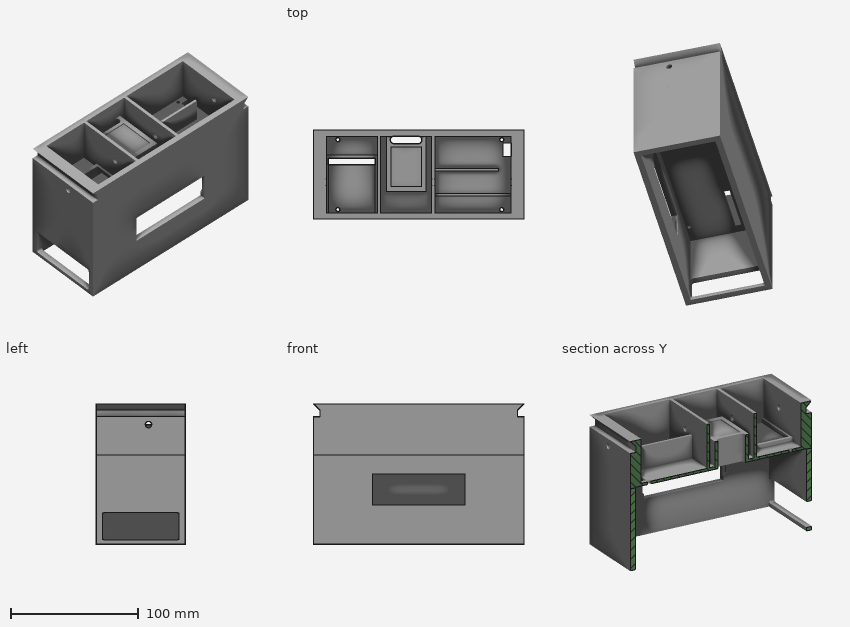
import cadquery as cq
LENGTH = 165.0
DEPTH = 70.0
BASE_HEIGHT = 70.0
TOTAL_HEIGHT = 110.0
WALL = 5.0

DISPLAY_WIDTH = 72.3
DISPLAY_HEIGHT = 24.3
DISPLAY_BOTTOM = 30.7
RELIEF_HEIGHT = 16.2
RELIEF_DEPTH = 2.0
RELIEF_CHAMFER = 2.5
END_OPENING_HEIGHT = 21.6
END_OPENING_BOTTOM = 3.3
END_OPENING_CORNER_RADIUS = 2.0

TRAY_FLOOR = 2.6
TRAY_END_WALL = 10.0
PARTITION = 2.6
SMALL_COMPARTMENT = 40.0
GROOVE_DEPTH = 5.0
GROOVE_BOTTOM_DROP = 10.0

SCREW_DIAMETER = 3.0
SCREW_LEFT_X = -63.4
SCREW_RIGHT_X = 65.0
SCREW_Y = 27.4

WIRE_DIAMETER = 5.0
WIRE_Y = -6.1
WIRE_Z = 93.7

FRAME_DEPTH = 45.4
FRAME_HEIGHT = 3.8
FRAME_SIDE = 1.6
FRAME_BACK = 2.6
FLOOR_SLOT = 5.0

BLOCK_WIDTH = 30.9
BLOCK_DEPTH = 43.4
BLOCK_TOP = WIRE_Z
BLOCK_POCKET_WIDTH = 23.8
BLOCK_POCKET_LENGTH = 31.0
BLOCK_POCKET_FRONT = 4.0
BLOCK_POCKET_DEPTH = 1.2
CABLE_SLOT_LENGTH = 24.6
CABLE_SLOT_WIDTH = 5.8

FIN_LENGTH = 49.8
FIN_THICKNESS = 2.0
FIN_Y = 4.0
FIN_TOP = 92.4
RIDGE_THICKNESS = 2.0
RIDGE_Y = -15.7
RIDGE_HEIGHT = 3.3
FLOOR_OPENING_WIDTH = 6.3
FLOOR_OPENING_DEPTH = 10.4
FLOOR_OPENING_BACK_GAP = 5.5

INNER_BACK = DEPTH / 2 - WALL
INNER_FRONT = -INNER_BACK
FLOOR_TOP = BASE_HEIGHT + TRAY_FLOOR
LEFT_START = -LENGTH / 2 + TRAY_END_WALL
LEFT_END = LEFT_START + SMALL_COMPARTMENT
MIDDLE_START = LEFT_END + PARTITION
MIDDLE_END = MIDDLE_START + SMALL_COMPARTMENT
RIGHT_START = MIDDLE_END + PARTITION
RIGHT_END = LENGTH / 2 - TRAY_END_WALL
MIDDLE_CENTER = (MIDDLE_START + MIDDLE_END) / 2


def box(x_range, y_range, z_range):
    """Axis-aligned box between the given limits."""
    (x0, x1), (y0, y1), (z0, z1) = x_range, y_range, z_range
    return cq.Workplane("XY").box(x1 - x0, y1 - y0, z1 - z0, centered=False).translate((x0, y0, z0))


def centered_range(center, size):
    """Limits of a stretch of the given size around its center."""
    return (center - size / 2, center + size / 2)


def make_base():
    """Four walls, open at top and bottom, with the two wall openings."""
    base = box(centered_range(0, LENGTH), centered_range(0, DEPTH), (0, BASE_HEIGHT))
    base = base.cut(box(centered_range(0, LENGTH - 2 * WALL), (INNER_FRONT, INNER_BACK), (0, BASE_HEIGHT)))

    display_z = (DISPLAY_BOTTOM, DISPLAY_BOTTOM + DISPLAY_HEIGHT)
    window = box(centered_range(0, DISPLAY_WIDTH), (-DEPTH / 2, INNER_FRONT), display_z)
    relief = box(
        centered_range(0, DISPLAY_WIDTH + 2 * RELIEF_CHAMFER),
        (INNER_FRONT - RELIEF_DEPTH, INNER_FRONT),
        centered_range(sum(display_z) / 2, RELIEF_HEIGHT),
    ).edges("|Y").chamfer(RELIEF_CHAMFER)

    end_opening = box(
        (-LENGTH / 2, -LENGTH / 2 + WALL),
        (INNER_FRONT, INNER_BACK),
        (END_OPENING_BOTTOM, END_OPENING_BOTTOM + END_OPENING_HEIGHT),
    ).edges("|X").fillet(END_OPENING_CORNER_RADIUS)
    return base.cut(window).cut(relief).cut(end_opening)


def tray_shell():
    """Tray block with dovetail end grooves, three compartments and the wire passage."""
    half = LENGTH / 2
    neck = half - GROOVE_DEPTH
    right_side = [
        (half, BASE_HEIGHT),
        (half, TOTAL_HEIGHT - GROOVE_BOTTOM_DROP),
        (neck, TOTAL_HEIGHT - GROOVE_BOTTOM_DROP),
        (neck, TOTAL_HEIGHT - GROOVE_DEPTH),
        (half, TOTAL_HEIGHT),
    ]
    left_side = [(-x, z) for x, z in reversed(right_side)]
    shell = cq.Workplane("XZ").polyline(right_side + left_side).close().extrude(DEPTH / 2, both=True)

    compartments = [(LEFT_START, LEFT_END), (MIDDLE_START, MIDDLE_END), (RIGHT_START, RIGHT_END)]
    for x_range in compartments:
        shell = shell.cut(box(x_range, (INNER_FRONT, INNER_BACK), (FLOOR_TOP, TOTAL_HEIGHT)))

    wire_passage = (
        cq.Workplane("YZ").center(WIRE_Y, WIRE_Z).circle(WIRE_DIAMETER / 2).extrude(LENGTH / 2, both=True)
    )
    return shell.cut(wire_passage)


def add_left_frame(tray):
    """Raised three-sided frame, with a slot through the floor along its rear bar."""
    frame_back = INNER_FRONT + FRAME_DEPTH
    recess_x = (LEFT_START + FRAME_SIDE, LEFT_END - FRAME_SIDE)
    recess_back = frame_back - FRAME_BACK
    frame_z = (FLOOR_TOP, FLOOR_TOP + FRAME_HEIGHT)
    frame = box((LEFT_START, LEFT_END), (INNER_FRONT, frame_back), frame_z)
    frame = frame.cut(box(recess_x, (INNER_FRONT, recess_back), frame_z))
    floor_slot = box(recess_x, (recess_back - FLOOR_SLOT, recess_back), (BASE_HEIGHT, FLOOR_TOP))
    return tray.union(frame).cut(floor_slot)


def add_middle_block(tray):
    """Block with a shallow pocket on top and a cable slot down through the floor."""
    block_front = INNER_BACK - BLOCK_DEPTH
    pocket_front = block_front + BLOCK_POCKET_FRONT
    block = box(centered_range(MIDDLE_CENTER, BLOCK_WIDTH), (block_front, INNER_BACK), (FLOOR_TOP, BLOCK_TOP))
    pocket = box(
        centered_range(MIDDLE_CENTER, BLOCK_POCKET_WIDTH),
        (pocket_front, pocket_front + BLOCK_POCKET_LENGTH),
        (BLOCK_TOP - BLOCK_POCKET_DEPTH, BLOCK_TOP),
    )
    cable_slot = (
        cq.Workplane("XY", origin=(MIDDLE_CENTER, INNER_BACK - CABLE_SLOT_WIDTH / 2, BASE_HEIGHT))
        .slot2D(CABLE_SLOT_LENGTH, CABLE_SLOT_WIDTH)
        .extrude(BLOCK_TOP - BASE_HEIGHT)
    )
    return tray.union(block).cut(pocket).cut(cable_slot)


def add_right_fittings(tray):
    """Upright fin, low ridge and the floor opening beside the right end wall."""
    fin = box((RIGHT_START, RIGHT_START + FIN_LENGTH), centered_range(FIN_Y, FIN_THICKNESS), (FLOOR_TOP, FIN_TOP))
    ridge = box(
        (RIGHT_START, RIGHT_END),
        centered_range(RIDGE_Y, RIDGE_THICKNESS),
        (FLOOR_TOP, FLOOR_TOP + RIDGE_HEIGHT),
    )
    opening_back = INNER_BACK - FLOOR_OPENING_BACK_GAP
    floor_opening = box(
        (RIGHT_END - FLOOR_OPENING_WIDTH, RIGHT_END),
        (opening_back - FLOOR_OPENING_DEPTH, opening_back),
        (BASE_HEIGHT, FLOOR_TOP),
    )
    return tray.union(fin).union(ridge).cut(floor_opening)


def drill_screw_holes(tray):
    """Four screw holes near the corners of the tray floor."""
    places = [(x, y) for x in (SCREW_LEFT_X, SCREW_RIGHT_X) for y in (-SCREW_Y, SCREW_Y)]
    holes = (
        cq.Workplane("XY", origin=(0, 0, BASE_HEIGHT))
        .pushPoints(places)
        .circle(SCREW_DIAMETER / 2)
        .extrude(TRAY_FLOOR)
    )
    return tray.cut(holes)


def make_tray():
    """Tray with the fittings of its three compartments."""
    tray = tray_shell()
    tray = add_left_frame(tray)
    tray = add_middle_block(tray)
    tray = add_right_fittings(tray)
    return drill_screw_holes(tray)


base = make_base()
tray = make_tray()
result = cq.Compound.makeCompound([base.val(), tray.val()])